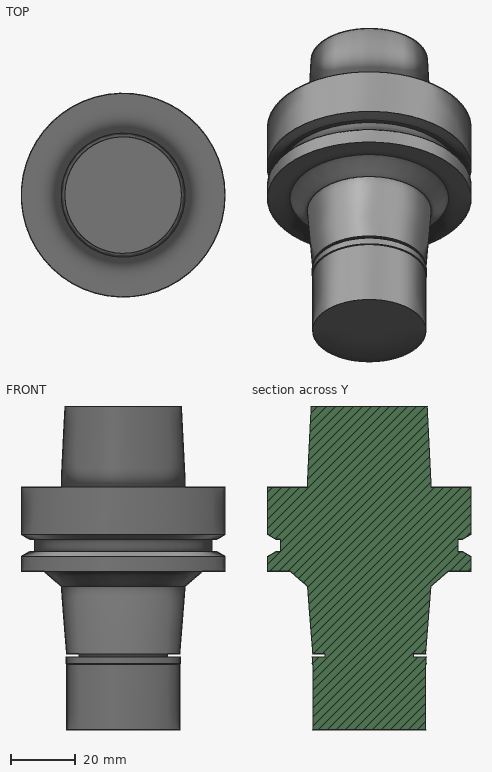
import cadquery as cq
import math

total_length = 100.0

spigot_length = 25.0
spigot_collar_length = 1.9
spigot_collar_diameter = 38.3
taper_ratio = 1 / 10
spigot_taper_length = spigot_length - spigot_collar_length
spigot_top_diameter = spigot_collar_diameter - taper_ratio * spigot_taper_length

flange_diameter = 63.0
flange_thickness = 26.0
gripper_groove_diameter = 55.0
gripper_groove_depth_below_face = 18.0
gripper_groove_floor_width = 3.75
gripper_groove_mouth_width = 6.75
gripper_groove_chamfer_angle = math.radians(30)

cone_top_diameter = 49.0
cone_length = 4.6
neck_top_diameter = 38.3
neck_bottom_diameter = 35.0
neck_length = 20.9

gap_diameter = 27.4
gap_width = 0.9
ring_diameter = 35.3
ring_length = 2.1
ring_bevel_height = 0.2
shank_diameter = 35.0

collar_top = spigot_collar_length
spigot_top = spigot_length
groove_middle = -gripper_groove_depth_below_face
flange_bottom = -flange_thickness
neck_top = flange_bottom - cone_length
neck_bottom = neck_top - neck_length
ring_top = neck_bottom - gap_width
ring_bottom = ring_top - ring_length
bevel_bottom = ring_bottom - ring_bevel_height
shank_bottom = spigot_top - total_length


def turned_body():
    """Solid of revolution about Z, listed from the spigot top downwards."""
    steps = [
        (spigot_top_diameter, spigot_top),
        (spigot_collar_diameter, collar_top),
        (spigot_collar_diameter, 0),
        (flange_diameter, 0),
        (flange_diameter, flange_bottom),
        (cone_top_diameter, flange_bottom),
        (neck_top_diameter, neck_top),
        (neck_bottom_diameter, neck_bottom),
        (gap_diameter, neck_bottom),
        (gap_diameter, ring_top),
        (ring_diameter, ring_top),
        (ring_diameter, ring_bottom),
        (shank_diameter, bevel_bottom),
        (shank_diameter, shank_bottom),
    ]
    outline = [(0, spigot_top)]
    outline += [(diameter / 2, height) for diameter, height in steps]
    outline += [(0, shank_bottom)]
    return cq.Workplane("XZ").polyline(outline).close().revolve(360, (0, 0, 0), (0, 1, 0))


def gripper_groove():
    """Ring-shaped cutter with flat walls and chamfered rims, symmetric about the groove middle."""
    half_floor = gripper_groove_floor_width / 2
    half_mouth = gripper_groove_mouth_width / 2
    floor_radius = gripper_groove_diameter / 2
    mouth_radius = flange_diameter / 2
    wall_radius = mouth_radius - (half_mouth - half_floor) / math.tan(gripper_groove_chamfer_angle)
    outline = [
        (mouth_radius, groove_middle + half_mouth),
        (wall_radius, groove_middle + half_floor),
        (floor_radius, groove_middle + half_floor),
        (floor_radius, groove_middle - half_floor),
        (wall_radius, groove_middle - half_floor),
        (mouth_radius, groove_middle - half_mouth),
    ]
    return cq.Workplane("XZ").polyline(outline).close().revolve(360, (0, 0, 0), (0, 1, 0))


result = turned_body().cut(gripper_groove())